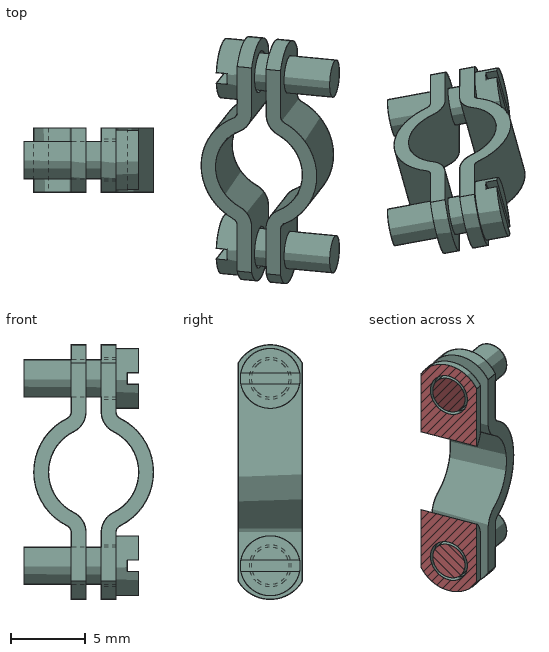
import cadquery as cq
import math

bore_radius = 3.0
thickness = 1.0
gap = 1.0
width = 4.3
height = 17.0
ear_tip_radius = 2.5
bend_inner_radius = 0.5

screw_offset = 6.25
shank_diameter = 2.5
shank_length = 6.15
head_diameter = 4.0
head_height = 1.5
slot_width = 0.75
slot_depth = 0.75

fitted_hole_diameter = shank_diameter
clearance_hole_diameter = 2.8

ring_radius = bore_radius + thickness
ear_inner_x = gap / 2
ear_outer_x = ear_inner_x + thickness
ear_tip_z = height / 2
bend_outer_radius = bend_inner_radius + thickness

bend_x = ear_outer_x + bend_inner_radius
bend_distance = ring_radius + bend_inner_radius
bend_z = math.sqrt(bend_distance**2 - bend_x**2)
bend_angle = math.atan2(bend_z, bend_x)


def on_ring(radius):
    """Point at the given radius on the line from the ring axis to the upper bend center."""
    return radius * math.cos(bend_angle), radius * math.sin(bend_angle)


def on_bend(radius):
    """Middle point of the upper bend's arc, which runs from the ear to the ring."""
    middle_angle = math.pi + bend_angle / 2
    return bend_x + radius * math.cos(middle_angle), bend_z + radius * math.sin(middle_angle)


def below(point):
    """Mirror image of a profile point in the horizontal middle plane."""
    return point[0], -point[1]


def make_strip():
    """Bent strip of constant thickness, lying on the +X side."""
    outer_end = on_ring(ring_radius)
    inner_end = on_ring(bore_radius)
    outer_bend = on_bend(bend_inner_radius)
    inner_bend = on_bend(bend_outer_radius)
    return (
        cq.Workplane("XZ")
        .moveTo(ear_inner_x, ear_tip_z)
        .lineTo(ear_outer_x, ear_tip_z)
        .lineTo(ear_outer_x, bend_z)
        .threePointArc(outer_bend, outer_end)
        .threePointArc((ring_radius, 0), below(outer_end))
        .threePointArc(below(outer_bend), (ear_outer_x, -bend_z))
        .lineTo(ear_outer_x, -ear_tip_z)
        .lineTo(ear_inner_x, -ear_tip_z)
        .lineTo(ear_inner_x, -bend_z)
        .threePointArc(below(inner_bend), below(inner_end))
        .threePointArc((bore_radius, 0), inner_end)
        .threePointArc(inner_bend, (ear_inner_x, bend_z))
        .close()
        .extrude(width / 2, both=True)
    )


def make_ear_envelope():
    """Block along X whose top and bottom are the arcs that round the ear tips."""
    half_width = width / 2
    tip_center_z = ear_tip_z - ear_tip_radius
    shoulder_z = tip_center_z + math.sqrt(ear_tip_radius**2 - half_width**2)
    return (
        cq.Workplane("YZ")
        .moveTo(-half_width, -shoulder_z)
        .threePointArc((0, -ear_tip_z), (half_width, -shoulder_z))
        .lineTo(half_width, shoulder_z)
        .threePointArc((0, ear_tip_z), (-half_width, shoulder_z))
        .close()
        .extrude(ring_radius)
    )


def make_screw_holes(diameter):
    """Cylinders that cut the screw holes through both ears of a half."""
    return (
        cq.Workplane("YZ")
        .pushPoints([(0, screw_offset), (0, -screw_offset)])
        .circle(diameter / 2)
        .extrude(ring_radius)
    )


def make_clamp_half(hole_diameter, turn):
    """Clamp half built on the +X side, then turned about Z by the given angle in degrees."""
    half = make_strip().intersect(make_ear_envelope()).cut(make_screw_holes(hole_diameter))
    return half.rotate((0, 0, 0), (0, 0, 1), turn)


def make_screw(axis_z):
    """Screw whose head rests on the outer face of the +X ear, slot along Y."""
    shank = (
        cq.Workplane("YZ", origin=(ear_outer_x - shank_length, 0, axis_z))
        .circle(shank_diameter / 2)
        .extrude(shank_length)
    )
    head = (
        cq.Workplane("YZ", origin=(ear_outer_x, 0, axis_z))
        .circle(head_diameter / 2)
        .extrude(head_height)
    )
    slot = (
        cq.Workplane("YZ", origin=(ear_outer_x + head_height - slot_depth, 0, axis_z))
        .rect(head_diameter, slot_width)
        .extrude(slot_depth)
    )
    return shank.union(head).cut(slot)


clearance_half = make_clamp_half(clearance_hole_diameter, turn=0)
fitted_half = make_clamp_half(fitted_hole_diameter, turn=180)
screws = [make_screw(axis_z) for axis_z in (screw_offset, -screw_offset)]

bodies = [clearance_half, fitted_half, *screws]
result = cq.Compound.makeCompound([solid for body in bodies for solid in body.solids().vals()])